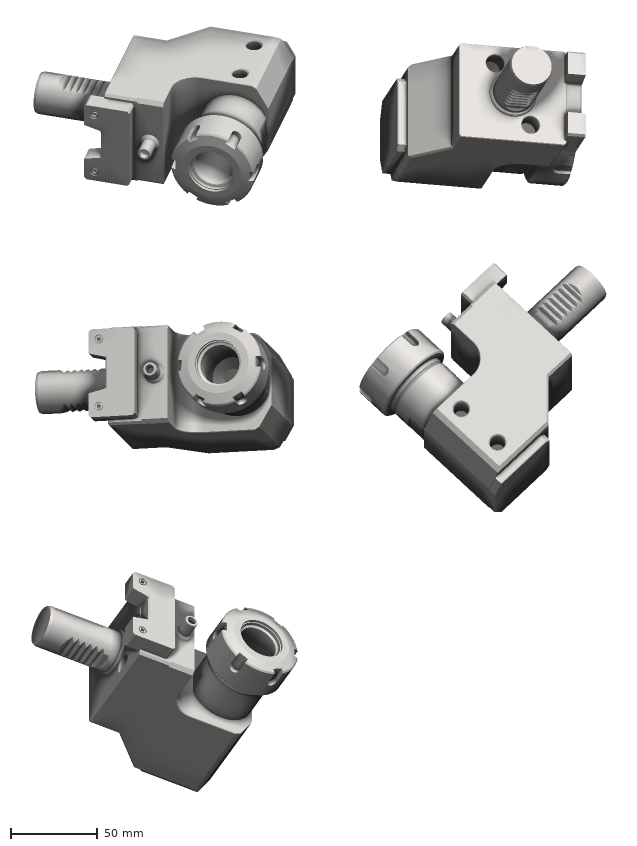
import cadquery as cq
import math


BODY_HEIGHT = 58.0
HALF_HEIGHT = BODY_HEIGHT / 2
PLATE_LENGTH = 20.0
PLATE_HALF_WIDTH = 32.0
PLATE_BEVEL = 1.5
FOOT_END_X = 35.6
HEAD_BACK_Y = 52.9
HEAD_END_X = 90.0
INNER_RADIUS = 14.0
FRONT_BEVEL = 2.3
BACK_BEVEL = 1.9
SLOPE_BEVEL = 1.1
EDGE_BREAK = 0.5
SLOPE_TOP_X = PLATE_LENGTH + HEAD_BACK_Y - PLATE_HALF_WIDTH

END_ANGLE = math.radians(60)
END_TOP_X = 79.5
END_BREAK_LENGTH = 3.1
END_BREAK_DROP = END_BREAK_LENGTH / math.tan(END_ANGLE)
END_SLOPE_X = END_TOP_X + END_BREAK_LENGTH
END_SLOPE_Z = HALF_HEIGHT - END_BREAK_DROP
END_FLAT_HALF = END_SLOPE_Z - (HEAD_END_X - END_SLOPE_X) * math.tan(END_ANGLE)

COVER_START_X = 44.6
COVER_HALF_HEIGHT = 22.6
COVER_TOP_Y = 58.0
COVER_CORNER = 3.1
COVER_SLOPE_X = 84.7

SCREW_HOLE_YS = (10.5, 40.0)
SCREW_HOLE_DIAMETER = 9.0
SCREW_HOLE_SINK_DIAMETER = 10.6
SCREW_HOLE_SINK_ANGLE = 90
SCREW_HOLE_DEPTH = 14.3

DRILL_POINT_ANGLE = math.radians(60)

COOLANT_Y = 10.6
COOLANT_Z = 18.2
COOLANT_DIAMETER = 11.5
COOLANT_DEPTH = 11.5
COOLANT_EDGE = 0.5

SHANK_LENGTH = 48.0
SHANK_RADIUS = 12.5
SHANK_END_RADIUS = 11.9
SHANK_END_LENGTH = 1.7
NECK_RADIUS = 12.0
NECK_START_X = -2.7
RING_RADIUS = 13.9
RING_WIDTH = 1.7
RING_EDGE = 0.7

TOOTH_COUNT = 6
TOOTH_PITCH = 4.0
LAST_VALLEY_X = -11.6
TOOTH_CREST_Z = 11.0
TOOTH_VALLEY_Z = 9.3
TOOTH_HALF_WIDTH = TOOTH_CREST_Z - TOOTH_VALLEY_Z
TOOTH_FLAT_START_X = -34.0
TOOTH_FLAT_END_X = -6.9

CLAMP_START_X = -9.3
CLAMP_END_X = 18.0
CLAMP_INNER_Y = -30.6
CLAMP_OUTER_Y = -41.2
CLAMP_HALF_HEIGHT = 26.2
CLAMP_CORNER = 1.3
NOTCH_MOUTH_HALF = 11.9
NOTCH_FLOOR_HALF = 9.5
NOTCH_END_X = 0.7
NOTCH_CORNER_RADIUS = 1.3
NOTCH_BEVEL = 0.7
CLAMP_SCREW_X = -3.1
CLAMP_SCREW_Z = 20.0
CLAMP_SCREW_DIAMETER = 5.5
CLAMP_SCREW_RIM = 0.9
CLAMP_SCREW_RECESS = 0.7
SOCKET_WIDTH = 2.3
SOCKET_DEPTH = 2.1

NOZZLE_X = 27.6
NOZZLE_BASE_RADIUS = 5.9
NOZZLE_BALL_LENGTH = 2.0
NOZZLE_RADIUS = 4.0
NOZZLE_TIP_Y = -44.0
NOZZLE_BORE_DIAMETER = 5.3
NOZZLE_BORE_DEPTH = 7.2
NOZZLE_EDGE = 0.5

SPINDLE_X = 69.9
SPINDLE_RADIUS = 20.2
SPINDLE_FLAT_DISTANCE = 18.6
SPINDLE_FLAT_LENGTH = 13.3
GROOVE_START = 23.0
GROOVE_END = 25.5
GROOVE_DEPTH = 0.9
NUT_START = 27.6
NUT_RADIUS = 25.0
NUT_SHOULDER = 47.8
NUT_END = 50.2
NUT_BEVEL = 0.9
NUT_FACE_RADIUS = 18.0
NUT_SLOT_COUNT = 6
NUT_SLOT_WIDTH = 6.3
NUT_SLOT_FLOOR_RADIUS = 22.0
NUT_SLOT_START = 37.3

BORE_RADIUS = 11.6
BORE_DEPTH = 35.8
BORE_FLOOR_RADIUS = 5.6
MOUTH_RADIUS = 13.7
MOUTH_DEPTH = 1.7
MOUTH_STEP_RADIUS = 13.2
MOUTH_STEP_DEPTH = 3.7
MOUTH_TAPER_DEPTH = 4.3


def bevel(solid, start, end, size):
    """Bevel the top and bottom rims over a straight, counter-clockwise outline edge."""
    length = math.dist(start, end)
    along_x = (end[0] - start[0]) / length
    along_y = (end[1] - start[1]) / length
    plane = cq.Plane(
        origin=(start[0], start[1], HALF_HEIGHT),
        xDir=(-along_y, along_x, 0),
        normal=(along_x, along_y, 0),
    )
    wedge = (
        cq.Workplane(plane)
        .workplane(offset=-size * 2)
        .polyline([(2 * size, size), (-size, size), (-size, -2 * size)])
        .close()
        .extrude(length + 4 * size)
    )
    return solid.cut(wedge).cut(wedge.mirror("XY"))


def make_plate():
    plate = (
        cq.Workplane("XY")
        .box(PLATE_LENGTH, 2 * PLATE_HALF_WIDTH, BODY_HEIGHT, centered=(False, True, True))
        .edges("|X")
        .chamfer(PLATE_BEVEL)
    )
    return plate.faces("<X").chamfer(EDGE_BREAK)


def make_head():
    arc_offset = INNER_RADIUS * (1 - math.sqrt(0.5))
    head = (
        cq.Workplane("XY")
        .workplane(offset=-HALF_HEIGHT)
        .moveTo(PLATE_LENGTH, -PLATE_HALF_WIDTH)
        .lineTo(FOOT_END_X, -PLATE_HALF_WIDTH)
        .lineTo(FOOT_END_X, -INNER_RADIUS)
        .threePointArc(
            (FOOT_END_X + arc_offset, -arc_offset),
            (FOOT_END_X + INNER_RADIUS, 0),
        )
        .lineTo(HEAD_END_X, 0)
        .lineTo(HEAD_END_X, HEAD_BACK_Y)
        .lineTo(SLOPE_TOP_X, HEAD_BACK_Y)
        .lineTo(PLATE_LENGTH, PLATE_HALF_WIDTH)
        .close()
        .extrude(BODY_HEIGHT)
    )
    side_profile = (
        cq.Workplane("XZ")
        .polyline([
            (PLATE_LENGTH, -HALF_HEIGHT),
            (END_TOP_X, -HALF_HEIGHT),
            (END_SLOPE_X, -END_SLOPE_Z),
            (HEAD_END_X, -END_FLAT_HALF),
            (HEAD_END_X, END_FLAT_HALF),
            (END_SLOPE_X, END_SLOPE_Z),
            (END_TOP_X, HALF_HEIGHT),
            (PLATE_LENGTH, HALF_HEIGHT),
        ])
        .close()
        .extrude(HEAD_BACK_Y, both=True)
    )
    head = head.intersect(side_profile)
    inner_corner = cq.selectors.BoxSelector(
        (FOOT_END_X - 1.5, -INNER_RADIUS - 1.5, -BODY_HEIGHT),
        (FOOT_END_X + INNER_RADIUS + 1.5, 1.5, BODY_HEIGHT),
    )
    head = head.faces("|Z").edges(inner_corner).chamfer(EDGE_BREAK)
    head = bevel(head, (PLATE_LENGTH, -PLATE_HALF_WIDTH), (FOOT_END_X, -PLATE_HALF_WIDTH), FRONT_BEVEL)
    head = bevel(head, (HEAD_END_X, HEAD_BACK_Y), (SLOPE_TOP_X, HEAD_BACK_Y), BACK_BEVEL)
    return bevel(head, (SLOPE_TOP_X, HEAD_BACK_Y), (PLATE_LENGTH, PLATE_HALF_WIDTH), SLOPE_BEVEL)


def make_cover():
    flat_half = COVER_HALF_HEIGHT - (HEAD_END_X - COVER_SLOPE_X) * math.tan(END_ANGLE)
    upper = [
        (HEAD_END_X, flat_half),
        (COVER_SLOPE_X, COVER_HALF_HEIGHT),
        (COVER_START_X + COVER_CORNER, COVER_HALF_HEIGHT),
        (COVER_START_X, COVER_HALF_HEIGHT - COVER_CORNER),
    ]
    lower = [(x, -z) for x, z in reversed(upper)]
    cover = cq.Workplane("XZ").polyline(upper + lower).close().extrude(-COVER_TOP_Y)
    return cover.faces(">Y").chamfer(EDGE_BREAK)


def drill_head_holes(solid):
    return (
        solid.copyWorkplane(cq.Workplane("XY", origin=(0, 0, HALF_HEIGHT)))
        .pushPoints([(SPINDLE_X, y) for y in SCREW_HOLE_YS])
        .cskHole(
            SCREW_HOLE_DIAMETER,
            SCREW_HOLE_SINK_DIAMETER,
            SCREW_HOLE_SINK_ANGLE,
            depth=SCREW_HOLE_DEPTH,
        )
    )


def drill_coolant_holes(solid):
    """The upper hole ends in a drill point, the lower one in a flat bottom."""
    radius = COOLANT_DIAMETER / 2
    inner_radius = radius - COOLANT_EDGE
    point_length = inner_radius / math.tan(DRILL_POINT_ANGLE)
    for side, tip_length in ((1, point_length), (-1, 0)):
        wall = [
            (0, 0),
            (0, radius),
            (COOLANT_EDGE, inner_radius),
            (COOLANT_DEPTH, inner_radius),
            (COOLANT_DEPTH + tip_length, 0),
        ]
        hole = cq.Workplane("XY").polyline(wall).close().revolve(360, (0, 0), (1, 0))
        solid = solid.cut(hole.translate((0, side * COOLANT_Y, side * COOLANT_Z)))
    return solid


def make_tooth_cutter():
    """Profile in XZ that removes everything above the rack on the +Z side."""
    rise = SHANK_RADIUS - TOOTH_CREST_Z
    points = [
        (TOOTH_FLAT_START_X - rise, SHANK_RADIUS),
        (TOOTH_FLAT_START_X, TOOTH_CREST_Z),
    ]
    for index in range(TOOTH_COUNT):
        valley_x = LAST_VALLEY_X - (TOOTH_COUNT - 1 - index) * TOOTH_PITCH
        points += [
            (valley_x - TOOTH_HALF_WIDTH, TOOTH_CREST_Z),
            (valley_x, TOOTH_VALLEY_Z),
            (valley_x + TOOTH_HALF_WIDTH, TOOTH_CREST_Z),
        ]
    points += [
        (TOOTH_FLAT_END_X, TOOTH_CREST_Z),
        (TOOTH_FLAT_END_X + rise, SHANK_RADIUS),
    ]
    return cq.Workplane("XZ").polyline(points).close().extrude(SHANK_RADIUS, both=True)


def make_shank():
    shank = (
        cq.Workplane("XY")
        .polyline([
            (-SHANK_LENGTH, 0),
            (-SHANK_LENGTH, SHANK_END_RADIUS),
            (-SHANK_LENGTH + SHANK_END_LENGTH, SHANK_RADIUS),
            (NECK_START_X, SHANK_RADIUS),
            (NECK_START_X, NECK_RADIUS),
            (-RING_WIDTH, NECK_RADIUS),
            (-RING_WIDTH, RING_RADIUS - RING_EDGE),
            (-RING_WIDTH + RING_EDGE, RING_RADIUS),
            (0, RING_RADIUS),
            (0, 0),
        ])
        .close()
        .revolve(360, (0, 0), (1, 0))
    )
    cutter = make_tooth_cutter()
    return shank.cut(cutter).cut(cutter.mirror("XY"))


def make_clamp():
    width = CLAMP_INNER_Y - CLAMP_OUTER_Y
    face = cq.Workplane("XZ", origin=(0, CLAMP_OUTER_Y, 0))
    clamp = (
        face.center((CLAMP_START_X + CLAMP_END_X) / 2, 0)
        .rect(CLAMP_END_X - CLAMP_START_X, 2 * CLAMP_HALF_HEIGHT)
        .extrude(-width)
        .edges("|Y")
        .chamfer(CLAMP_CORNER)
    )
    notch = (
        face.polyline([
            (CLAMP_START_X, -NOTCH_MOUTH_HALF),
            (NOTCH_END_X, -NOTCH_FLOOR_HALF),
            (NOTCH_END_X, NOTCH_FLOOR_HALF),
            (CLAMP_START_X, NOTCH_MOUTH_HALF),
        ])
        .close()
        .extrude(-width)
        .edges("|Y and >X")
        .fillet(NOTCH_CORNER_RADIUS)
    )
    notch_bevel = (
        cq.Workplane("XY")
        .polyline([
            (NOTCH_END_X, CLAMP_OUTER_Y),
            (NOTCH_END_X + NOTCH_BEVEL, CLAMP_OUTER_Y),
            (NOTCH_END_X, CLAMP_OUTER_Y + NOTCH_BEVEL),
        ])
        .close()
        .extrude(NOTCH_FLOOR_HALF, both=True)
    )
    clamp = clamp.cut(notch).cut(notch_bevel)
    screws = face.pushPoints([(CLAMP_SCREW_X, CLAMP_SCREW_Z), (CLAMP_SCREW_X, -CLAMP_SCREW_Z)])
    rims = (
        screws.circle(CLAMP_SCREW_DIAMETER / 2)
        .circle(CLAMP_SCREW_DIAMETER / 2 - CLAMP_SCREW_RIM)
        .extrude(-CLAMP_SCREW_RECESS)
    )
    sockets = screws.polygon(6, SOCKET_WIDTH / math.cos(math.pi / 6)).extrude(-SOCKET_DEPTH)
    return clamp.cut(rims).cut(sockets)


def make_nozzle():
    """Ball seat and tube along -Y, with a blind bore in the tip."""
    base_y = -PLATE_HALF_WIDTH
    tube_y = base_y - NOZZLE_BALL_LENGTH
    depth = (NOZZLE_BASE_RADIUS**2 - NOZZLE_RADIUS**2 - NOZZLE_BALL_LENGTH**2) / (2 * NOZZLE_BALL_LENGTH)
    ball_radius = math.hypot(NOZZLE_BASE_RADIUS, depth)
    middle = NOZZLE_BALL_LENGTH / 2
    middle_radius = math.sqrt(ball_radius**2 - (depth + middle) ** 2)
    nozzle = (
        cq.Workplane("XY")
        .moveTo(0, base_y)
        .lineTo(NOZZLE_BASE_RADIUS, base_y)
        .threePointArc((middle_radius, base_y - middle), (NOZZLE_RADIUS, tube_y))
        .lineTo(NOZZLE_RADIUS, NOZZLE_TIP_Y + NOZZLE_EDGE)
        .lineTo(NOZZLE_RADIUS - NOZZLE_EDGE, NOZZLE_TIP_Y)
        .lineTo(0, NOZZLE_TIP_Y)
        .close()
        .revolve(360, (0, 0), (0, 1))
    )
    nozzle = nozzle.faces("<Y").workplane().hole(NOZZLE_BORE_DIAMETER, NOZZLE_BORE_DEPTH)
    return nozzle.translate((NOZZLE_X, 0, 0))


def revolve_spindle(profile):
    """Revolve (radius, distance in front of the head) points about the spindle axis."""
    points = [(radius, -distance) for radius, distance in profile]
    return (
        cq.Workplane("XY")
        .polyline(points)
        .close()
        .revolve(360, (0, 0), (0, 1))
        .translate((SPINDLE_X, 0, 0))
    )


def make_spindle():
    spindle = revolve_spindle([
        (0, 0),
        (SPINDLE_RADIUS, 0),
        (SPINDLE_RADIUS, GROOVE_START),
        (SPINDLE_RADIUS - GROOVE_DEPTH, GROOVE_START + GROOVE_DEPTH),
        (SPINDLE_RADIUS - GROOVE_DEPTH, GROOVE_END - GROOVE_DEPTH),
        (SPINDLE_RADIUS, GROOVE_END),
        (SPINDLE_RADIUS, NUT_START),
        (0, NUT_START),
    ])
    flat_cut = SPINDLE_RADIUS - SPINDLE_FLAT_DISTANCE
    for side in (-1, 1):
        flat = cq.Workplane("XY").box(flat_cut, SPINDLE_FLAT_LENGTH, BODY_HEIGHT)
        center_x = SPINDLE_X + side * (SPINDLE_FLAT_DISTANCE + flat_cut / 2)
        spindle = spindle.cut(flat.translate((center_x, -SPINDLE_FLAT_LENGTH / 2, 0)))
    return spindle


def make_nut_slot():
    """Cutter for the +X wrench slot: rounded at the back, open at the front face."""
    half = NUT_SLOT_WIDTH / 2
    round_y = -NUT_SLOT_START - half
    return (
        cq.Workplane("YZ", origin=(NUT_SLOT_FLOOR_RADIUS, 0, 0))
        .moveTo(-NUT_END, half)
        .lineTo(round_y, half)
        .threePointArc((-NUT_SLOT_START, 0), (round_y, -half))
        .lineTo(-NUT_END, -half)
        .close()
        .extrude(NUT_RADIUS)
    )


def make_nut():
    nut = revolve_spindle([
        (0, NUT_START),
        (NUT_RADIUS - NUT_BEVEL, NUT_START),
        (NUT_RADIUS, NUT_START + NUT_BEVEL),
        (NUT_RADIUS, NUT_SHOULDER),
        (NUT_RADIUS - NUT_BEVEL, NUT_SHOULDER + NUT_BEVEL),
        (NUT_FACE_RADIUS, NUT_END),
        (0, NUT_END),
    ])
    slot = make_nut_slot()
    for index in range(NUT_SLOT_COUNT):
        turned = slot.rotate((0, 0, 0), (0, 1, 0), index * 360 / NUT_SLOT_COUNT)
        nut = nut.cut(turned.translate((SPINDLE_X, 0, 0)))
    return nut


def make_collet_bore():
    """Stepped mouth, plain bore and a conical bottom that ends in a small flat."""
    cone_length = (BORE_RADIUS - BORE_FLOOR_RADIUS) / math.tan(DRILL_POINT_ANGLE)
    profile = [
        (0, 0),
        (MOUTH_RADIUS, 0),
        (MOUTH_RADIUS, MOUTH_DEPTH),
        (MOUTH_STEP_RADIUS, MOUTH_DEPTH),
        (MOUTH_STEP_RADIUS, MOUTH_STEP_DEPTH),
        (BORE_RADIUS, MOUTH_TAPER_DEPTH),
        (BORE_RADIUS, BORE_DEPTH),
        (BORE_FLOOR_RADIUS, BORE_DEPTH + cone_length),
        (0, BORE_DEPTH + cone_length),
    ]
    return revolve_spindle([(radius, NUT_END - depth) for radius, depth in profile])


body = make_plate().union(make_head()).union(make_cover())
body = drill_head_holes(body)
body = body.union(make_shank())
body = drill_coolant_holes(body)
body = body.union(make_clamp()).union(make_nozzle())
body = body.union(make_spindle()).union(make_nut())
result = body.cut(make_collet_bore())